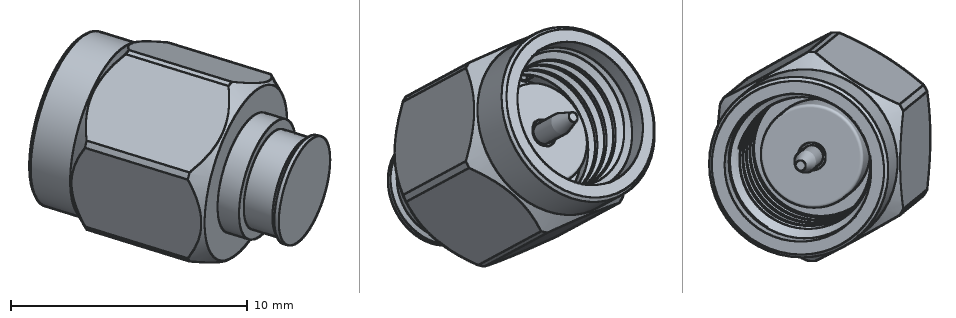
import cadquery as cq
import math

total_length = 11.18
ring_dia = 7.76
ring_chamfer = 0.15
hex_start = 2.02
hex_end = 8.4
collar_dia = 5.33
collar_end = 9.42
neck_dia = 4.45
lip_dia = 4.83
lip_width = 0.21
lip_bevel = (lip_dia - neck_dia) / 2

across_flats = 7.94
corner_dia = 8.99
hex_bevel_length = 0.75

entry_dia = 6.35
entry_depth = 0.83
minor_dia = 5.6
lead_in_length = 0.41
socket_depth = 4.2
thread_pitch = 25.4 / 36
thread_major_dia = 6.3
thread_flank_angle = 30.0
thread_root_width = thread_pitch / 6
thread_start = 0.39
thread_turns = 5
thread_start_angle = 180

boss_dia = 4.45
boss_face = 2.79
boss_edge_radius = 0.13
recess_dia = 1.19
recess_depth = 0.1
pin_dia = 0.94
pin_tip_dia = 0.44
pin_tip = 0.54
pin_taper_length = 0.95


def revolve_about_x(points):
    """Turn a closed (x, radius) outline about the X axis."""
    return cq.Workplane("XY").polyline(points).close().revolve(360, (0, 0, 0), (1, 0, 0))


def rod(start, end, diameter):
    return cq.Workplane("YZ", origin=(start, 0, 0)).circle(diameter / 2).extrude(end - start)


def make_hexagon():
    """Hexagon with corners up and down, turned to a cylinder and bevelled at both ends."""
    point_dia = across_flats / math.cos(math.radians(30))
    prism = (
        cq.Workplane("YZ", origin=(hex_start, 0, 0))
        .transformed(rotate=(0, 0, 90))
        .polygon(6, point_dia)
        .extrude(hex_end - hex_start)
    )
    turned = revolve_about_x([
        (hex_start, 0),
        (hex_start, ring_dia / 2),
        (hex_start + hex_bevel_length, corner_dia / 2),
        (hex_end - hex_bevel_length, corner_dia / 2),
        (hex_end, ring_dia / 2),
        (hex_end, 0),
    ])
    return prism.intersect(turned)


def make_turned_body():
    """Front ring, rear collar, neck and end lip."""
    lip_start = total_length - lip_width
    return revolve_about_x([
        (0, 0),
        (0, ring_dia / 2 - ring_chamfer),
        (ring_chamfer, ring_dia / 2),
        (hex_start, ring_dia / 2),
        (hex_start, collar_dia / 2),
        (collar_end, collar_dia / 2),
        (collar_end, neck_dia / 2),
        (lip_start - lip_bevel, neck_dia / 2),
        (lip_start, lip_dia / 2),
        (total_length, lip_dia / 2),
        (total_length, 0),
    ])


def make_socket():
    return revolve_about_x([
        (0, 0),
        (0, entry_dia / 2),
        (entry_depth, entry_dia / 2),
        (entry_depth + lead_in_length, minor_dia / 2),
        (socket_depth, minor_dia / 2),
        (socket_depth, 0),
    ])


def make_thread_groove():
    """Helical V groove with a flat root, cut outward from the socket wall."""
    overlap = 0.05
    inner_radius = minor_dia / 2 - overlap
    outer_radius = thread_major_dia / 2
    root_half = thread_root_width / 2
    flank_run = (outer_radius - inner_radius) * math.tan(math.radians(thread_flank_angle))
    mouth_half = root_half + flank_run
    path = cq.Wire.makeHelix(thread_pitch, thread_pitch * thread_turns, inner_radius)
    groove = (
        cq.Workplane("XZ")
        .polyline([
            (inner_radius, -mouth_half),
            (outer_radius, -root_half),
            (outer_radius, root_half),
            (inner_radius, mouth_half),
        ])
        .close()
        .sweep(cq.Workplane(obj=path), isFrenet=True)
    )
    groove = groove.rotate((0, 0, 0), (0, 1, 0), 90).translate((thread_start, 0, 0))
    return groove.rotate((0, 0, 0), (1, 0, 0), thread_start_angle)


def make_boss():
    boss = rod(boss_face, socket_depth, boss_dia).faces("<X").fillet(boss_edge_radius)
    return boss.cut(rod(boss_face, boss_face + recess_depth, recess_dia))


def make_pin():
    return revolve_about_x([
        (pin_tip, 0),
        (pin_tip, pin_tip_dia / 2),
        (pin_tip + pin_taper_length, pin_dia / 2),
        (socket_depth, pin_dia / 2),
        (socket_depth, 0),
    ])


shell = make_turned_body().union(make_hexagon())
shell = shell.cut(make_socket()).cut(make_thread_groove())
result = shell.union(make_boss()).union(make_pin())